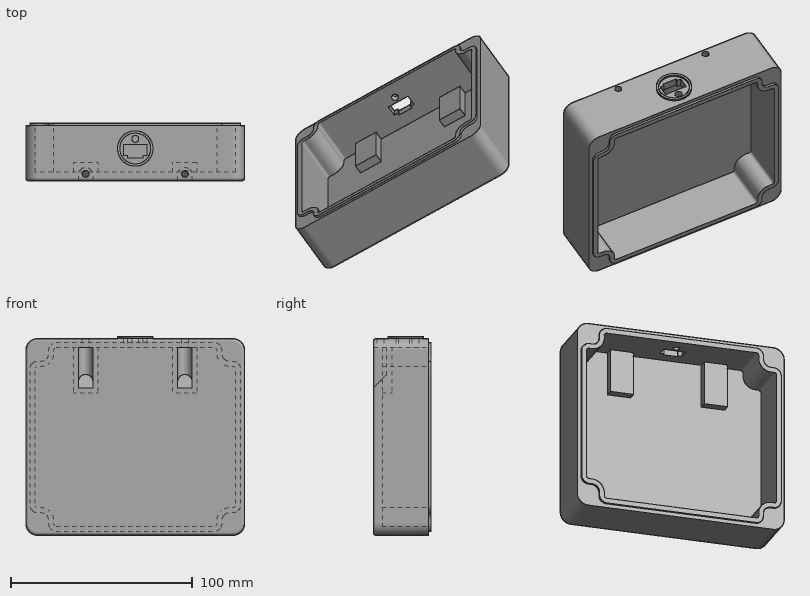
import cadquery as cq

width = 120.4
height = 108.4
overall_depth = 31.8
corner_radius = 6.5
front_fillet = 1.6
wall = 4.9

lip_height = 1.3
lip_inset = 2.2
lip_wall = wall - lip_inset
body_depth = overall_depth - lip_height
notch_wall = 12.5
notch_radius = corner_radius - lip_inset

overall_height = 109.5
collar_diameter = 19.5
collar_bore = 17.0
collar_y = 17.8
indicator_diameter = 3.9
indicator_offset = 5.3
port_width = 12.8
port_back = 2.2
port_step = -4.0
port_front = -5.3
port_key_width = 8.3

hanger_spacing = 54.7
pocket_width = 8.0
pocket_top = height - 4.8
pocket_length = 22.3
pocket_bottom = pocket_top - pocket_length
pocket_depth = 7.3
ramp_rise = pocket_depth
pin_diameter = 3.7
pin_y = 3.9

center_z = height / 2
selection_margin = 0.1
hanger_positions = [-hanger_spacing / 2, hanger_spacing / 2]


def plate(size_x, size_z, y_start, depth):
    """Centred block extruded along Y."""
    return (
        cq.Workplane("XZ", origin=(0, y_start, center_z))
        .rect(size_x, size_z)
        .extrude(-depth)
    )


def cross_block(edge_inset, corner_inset, inner_radius, outer_radius, y_start, depth):
    """Block with a square notch at each corner, rounded where it turns in and where it turns out."""
    full_width = width - 2 * edge_inset
    full_height = height - 2 * edge_inset
    wide_band = plate(full_width, height - 2 * corner_inset, y_start, depth)
    tall_band = plate(width - 2 * corner_inset, full_height, y_start, depth)
    wide_band = wide_band.edges("|Y").fillet(outer_radius)
    tall_band = tall_band.edges("|Y").fillet(outer_radius)
    block = wide_band.union(tall_band)
    inner_x = width / 2 - corner_inset + selection_margin
    inner_z = height / 2 - corner_inset + selection_margin
    inner_corners = cq.selectors.BoxSelector(
        (-inner_x, y_start, center_z - inner_z),
        (inner_x, y_start + depth, center_z + inner_z),
    )
    return block.edges("|Y").edges(inner_corners).fillet(inner_radius)


def body():
    """Tray with rounded corners, a stepped lip, and a cavity that follows the lip at a constant wall."""
    shell = plate(width, height, 0, body_depth)
    shell = shell.edges("|Y").fillet(corner_radius)
    shell = shell.faces("<Y").edges().fillet(front_fillet)
    lip = cross_block(lip_inset, notch_wall, notch_radius, notch_radius, body_depth, lip_height)
    cavity = cross_block(
        lip_inset + lip_wall,
        notch_wall + lip_wall,
        notch_radius + lip_wall,
        notch_radius - lip_wall,
        wall,
        overall_depth - wall,
    )
    return shell.union(lip).cut(cavity)


def hanger_housing(x):
    """Backing inside the cavity that keeps a hanger pocket closed."""
    depth = pocket_depth + lip_wall - front_fillet
    bottom = pocket_bottom - lip_wall
    return (
        cq.Workplane("XY", origin=(x, front_fillet + depth / 2, bottom))
        .rect(pocket_width + 2 * lip_wall, depth)
        .extrude(height - lip_wall - bottom)
    )


def hanger_pocket(x):
    """Round-backed slot open to the front, with a ramp rising inwards from its lower edge."""
    half_width = pocket_width / 2
    slot = (
        cq.Workplane("XY", origin=(x, 0, pocket_bottom))
        .moveTo(-half_width, 0)
        .lineTo(half_width, 0)
        .lineTo(half_width, pocket_depth - half_width)
        .threePointArc((0, pocket_depth), (-half_width, pocket_depth - half_width))
        .close()
        .extrude(pocket_length)
    )
    ramp = (
        cq.Workplane("YZ", origin=(x, 0, pocket_bottom))
        .polyline([(0, 0), (pocket_depth, 0), (pocket_depth, ramp_rise)])
        .close()
        .extrude(half_width, both=True)
    )
    return slot.cut(ramp)


def pin_hole(x):
    """Hole from the top face down into a hanger pocket."""
    return (
        cq.Workplane("XY", origin=(x, pin_y, pocket_top))
        .circle(pin_diameter / 2)
        .extrude(height - pocket_top)
    )


def on_collar(z):
    """Horizontal workplane centred on the collar axis."""
    return cq.Workplane("XY", origin=(0, collar_y, z))


def collar():
    """Raised ring on the top face."""
    ring = on_collar(height).circle(collar_diameter / 2).circle(collar_bore / 2)
    return ring.extrude(overall_height - height)


def connector_openings():
    """Keyed connector port and round indicator hole, both through the top wall."""
    half_port = port_width / 2
    half_key = port_key_width / 2
    port = (
        on_collar(height - wall)
        .polyline([
            (-half_port, port_back),
            (half_port, port_back),
            (half_port, port_step),
            (half_key, port_step),
            (half_key, port_front),
            (-half_key, port_front),
            (-half_key, port_step),
            (-half_port, port_step),
        ])
        .close()
        .extrude(wall)
    )
    indicator = on_collar(height - wall).center(0, indicator_offset).circle(indicator_diameter / 2)
    return port.union(indicator.extrude(wall))


result = body().union(collar()).cut(connector_openings())
for hanger_x in hanger_positions:
    result = result.union(hanger_housing(hanger_x))
    result = result.cut(hanger_pocket(hanger_x)).cut(pin_hole(hanger_x))